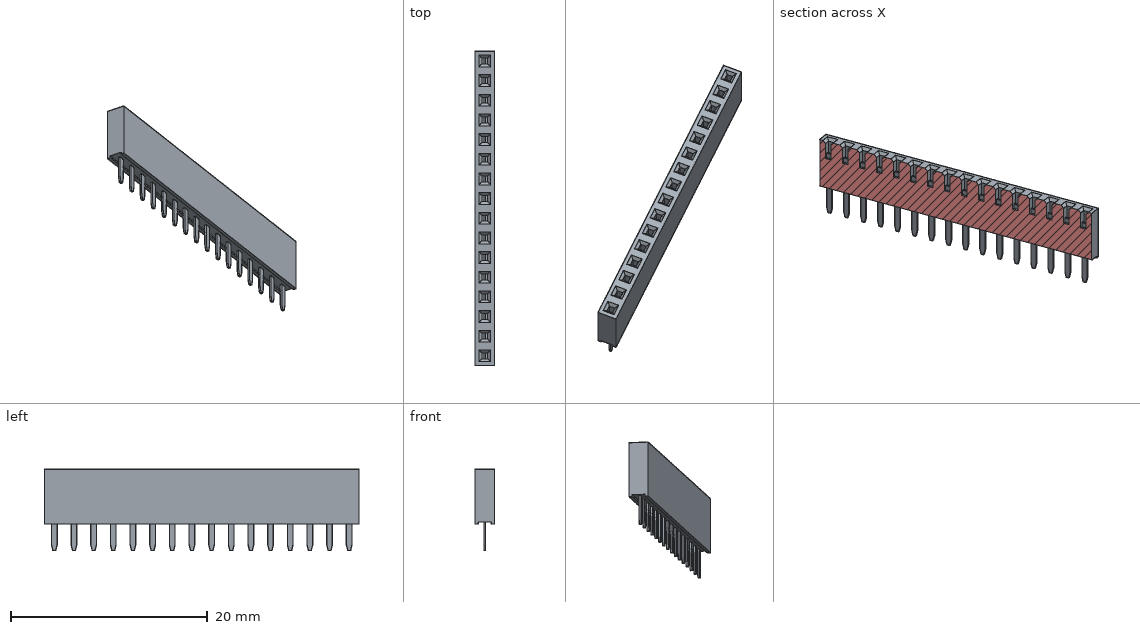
import cadquery as cq

pin_count = 16
pitch = 2.0
body_width = 2.0
body_height = 5.6
body_length = pin_count * pitch

channel_width = 1.3
channel_depth = 0.2

overall_height = 8.3
tail_length = overall_height - body_height
pin_thickness = 0.2
pin_width = 0.6
tip_width = 0.3
tip_length = 0.6

funnel_mouth = 1.2
well_size = pin_width
funnel_depth = (funnel_mouth - well_size) / 2
well_floor_depth = 2.0
contact_rise = 0.5

pin_positions = [(i - (pin_count - 1) / 2) * pitch for i in range(pin_count)]


def make_body():
    """Housing block with a channel along the whole underside."""
    block = cq.Workplane("XY").box(body_width, body_length, body_height, centered=(True, True, False))
    channel = cq.Workplane("XY").box(channel_width, body_length, channel_depth, centered=(True, True, False))
    return block.cut(channel)


def make_socket():
    """Funnel and well, as one solid to cut from the top of the housing."""
    funnel = (
        cq.Workplane("XY", origin=(0, 0, body_height))
        .rect(funnel_mouth, funnel_mouth)
        .workplane(offset=-funnel_depth)
        .rect(well_size, well_size)
        .loft(ruled=True)
    )
    well = (
        cq.Workplane("XY", origin=(0, 0, body_height - well_floor_depth))
        .rect(well_size, well_size)
        .extrude(well_floor_depth - funnel_depth)
    )
    return funnel.union(well)


def make_pin():
    """Flat contact, standing proud of the well floor and ending in the narrowed tail tip."""
    top = body_height - well_floor_depth + contact_rise
    taper_start = tip_length - tail_length
    outline = [
        (-pin_width / 2, top),
        (-pin_width / 2, taper_start),
        (-tip_width / 2, -tail_length),
        (tip_width / 2, -tail_length),
        (pin_width / 2, taper_start),
        (pin_width / 2, top),
    ]
    return (
        cq.Workplane("YZ", origin=(-pin_thickness / 2, 0, 0))
        .polyline(outline)
        .close()
        .extrude(pin_thickness)
    )


socket = make_socket()
pin = make_pin()

result = make_body()
for y in pin_positions:
    result = result.cut(socket.translate((0, y, 0)))
    result = result.union(pin.translate((0, y, 0)))